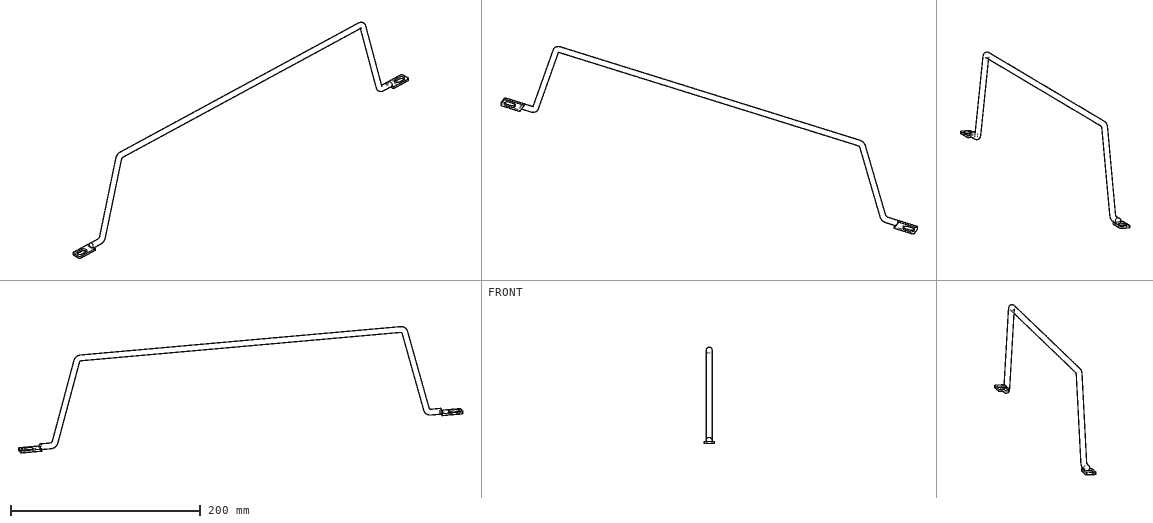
import cadquery as cq
import math

overall_length = 482.6
overall_height = 101.6

rod_diameter = 6.35
leg_tilt = 15.0
bend_radius = 4.76
foot_vertex_y = 203.57

tab_width = 11.05
tab_length = 22.9
tab_thickness = 2.35
slot_width = 6.35
slot_length = 12.3
tip_corner_radius = 2.0
slot_end_margin = (tab_width - slot_width) / 2
shoulder_run = 1.3

rod_radius = rod_diameter / 2
half_length = overall_length / 2
foot_z = rod_radius
bar_z = overall_height - rod_radius
bar_vertex_y = foot_vertex_y - (bar_z - foot_z) * math.tan(math.radians(leg_tilt))

bend_angle = math.radians(90 - leg_tilt)
bend_setback = bend_radius * math.tan(bend_angle / 2)

tab_root_y = half_length - tab_length
shoulder_foot_y = tab_root_y + shoulder_run


def bend_points(vertex_y, vertex_z, side):
    """Start, middle and end of a bend; side is +1 at a foot and -1 at the bar.

    The start lies on the horizontal run and the end lies on the leg.
    """
    centre_y = vertex_y + side * bend_setback
    centre_z = vertex_z + side * bend_radius

    def on_bend(angle):
        y = centre_y - side * bend_radius * math.sin(angle)
        z = centre_z - side * bend_radius * math.cos(angle)
        return (y, z)

    return [on_bend(0), on_bend(bend_angle / 2), on_bend(bend_angle)]


def make_half_rod():
    """Rod from the middle of the bar to the foot of the +Y sloped end."""
    foot_bend = bend_points(foot_vertex_y, foot_z, 1)
    bar_bend = bend_points(bar_vertex_y, bar_z, -1)
    path = (
        cq.Workplane("YZ")
        .moveTo(0, bar_z)
        .lineTo(*bar_bend[0])
        .threePointArc(bar_bend[1], bar_bend[2])
        .lineTo(*foot_bend[2])
        .threePointArc(foot_bend[1], foot_bend[0])
        .lineTo(shoulder_foot_y, foot_z)
    )
    profile = cq.Workplane("XZ", origin=(0, 0, bar_z)).circle(rod_radius)
    return profile.sweep(path)


def make_shoulder_cutter():
    """Wedge above the tab that slopes the rod end."""
    return (
        cq.Workplane("YZ")
        .moveTo(tab_root_y, rod_diameter)
        .lineTo(shoulder_foot_y, tab_thickness)
        .lineTo(half_length, tab_thickness)
        .lineTo(half_length, rod_diameter)
        .close()
        .extrude(rod_radius, both=True)
    )


def make_tab():
    """Flat tab at the +Y end with a rounded tip and a lengthwise slot."""
    slot_centre_y = half_length - slot_end_margin - slot_length / 2
    tab = (
        cq.Workplane("XY", origin=(0, tab_root_y, 0))
        .box(tab_width, tab_length, tab_thickness, centered=(True, False, False))
        .edges("|Z and >Y")
        .fillet(tip_corner_radius)
    )
    slot = (
        cq.Workplane("XY")
        .center(0, slot_centre_y)
        .slot2D(slot_length, slot_width, 90)
        .extrude(tab_thickness)
    )
    return tab.cut(slot)


half_handle = make_half_rod().cut(make_shoulder_cutter()).union(make_tab())
result = half_handle.union(half_handle.mirror("XZ"))